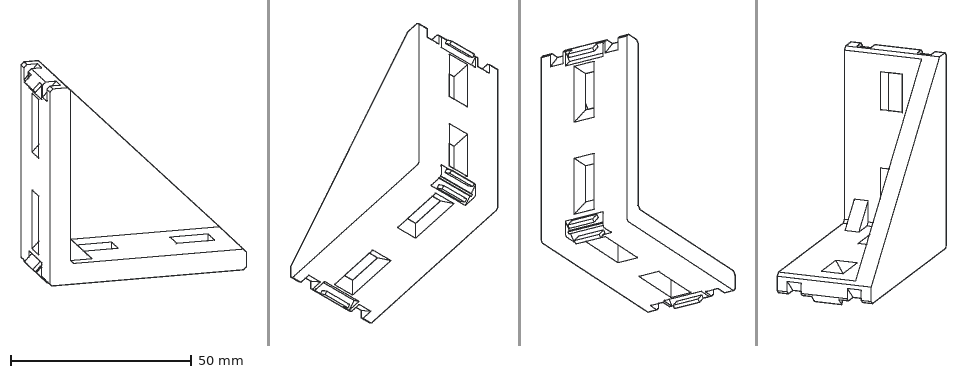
import cadquery as cq
import math

width = 28.0
overall = 59
tab_reach = 2.0
leg = overall - tab_reach
plate = 6.0
end_flat = 5.1
side_wall = 5.0
edge_break = 0.9

slot_width = 6.4
slot_length = 17.0
slot_pitch = 27.95
slot_starts = [plate, plate + slot_pitch]

notch_width = 4.1
notch_offset = 8.95
notch_along = 4.35
notch_across = 3.9
gusset_size = 7.1

tab_width = 8.15
tab_thickness = 1.05
recess_width = 12.2
recess_depth = 2.2
heel_recess_top = 4.6
heel_recess_depth = 2.05
heel_tab_top = 4.2
heel_strip_end = 3.25


def prism(points, length, x_centre=0):
    """Extrude a (Y, Z) outline along X, centred on x_centre."""
    start = x_centre - length / 2
    return cq.Workplane("YZ", origin=(start, 0, 0)).polyline(points).close().extrude(length)


def on_both_legs(points, length, x_centre=0):
    """Prism on the upright leg together with its mirror image on the base leg."""
    swapped = [(z, y) for y, z in points]
    return prism(points, length, x_centre).union(prism(swapped, length, x_centre))


def v_recess(top, depth):
    """Outline of a 45 degree V groove in the outer face, with its upper edge at Z = top."""
    return [(0, top), (depth, top - depth), (0, top - 2 * depth)]


def tab(face_top, recess_top):
    """Outline of a 45 degree tab that grows from the upper flank of a V recess."""
    skew = tab_thickness / math.sqrt(2)
    root_y = (recess_top - face_top) / 2
    root_z = recess_top - root_y
    tip_y = -tab_reach
    tip_z = face_top - tab_reach
    return [
        (root_y, root_z),
        (tip_y, tip_z),
        (tip_y + skew, tip_z - skew),
        (root_y + skew, root_z - skew),
    ]


body = prism(
    [
        (0, 0),
        (leg - edge_break, 0),
        (leg, edge_break),
        (leg, end_flat),
        (end_flat, leg),
        (edge_break, leg),
        (0, leg - edge_break),
    ],
    width,
)
body = body.edges("|X and <Y and <Z").fillet(edge_break)
inside = prism(
    [
        (plate + edge_break, plate),
        (leg, plate),
        (leg, leg),
        (plate, leg),
        (plate, plate + edge_break),
    ],
    width,
    side_wall,
)
body = body.cut(inside)

gusset = prism(
    [(plate, plate), (plate + gusset_size, plate), (plate, plate + gusset_size)],
    notch_width,
    notch_offset,
)
body = body.union(gusset)

for start in slot_starts:
    slot_end = start + slot_length
    slot = [(0, start), (plate, start + plate), (plate, slot_end), (0, slot_end)]
    body = body.cut(on_both_legs(slot, slot_width))

notch = [(0, leg), (notch_across, leg), (0, leg - notch_along)]
for x_centre in (-notch_offset, notch_offset):
    body = body.cut(on_both_legs(notch, notch_width, x_centre))

tip_recess_top = leg - edge_break
body = body.cut(on_both_legs(v_recess(tip_recess_top, recess_depth), recess_width))
body = body.cut(on_both_legs(v_recess(heel_recess_top, heel_recess_depth), recess_width))
body = body.cut(prism([(0, 0), (heel_strip_end, 0), (0, heel_strip_end)], recess_width))

tip_tab = tab(tip_recess_top, tip_recess_top)
heel_tab = tab(heel_tab_top, heel_recess_top)
for outline in (tip_tab, heel_tab):
    body = body.union(on_both_legs(outline, tab_width))

result = body